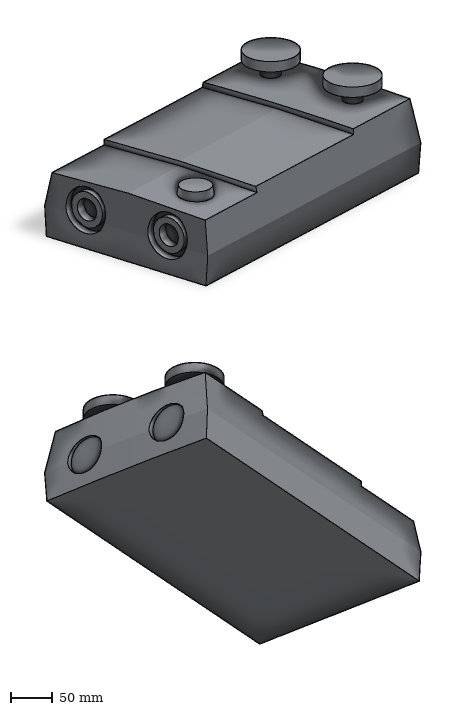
import cadquery as cq
import math

LENGTH = 429.5
WIDTH = 250.0
BOTTOM_WIDTH = 244.8
WAIST_Z = 40.5
SIDE_LEAN = 0.17
FRONT_LEAN = 0.11
BACK_LEAN = 0.15
BACK_UNDERCUT = 1.5
BACK_CROWN = 2.0

BACK_RIDGE_Z = 101.5
BACK_ROOF_DROP = 1.7
MIDDLE_RIDGE_Z = 95.5
MIDDLE_ROOF_DROP = 2.5
FRONT_RIDGE_Z = 88.5
FRONT_ROOF_DROP = 4.0
BACK_STEP_Y = 82.5
FRONT_STEP_Y = -100.0
STEP_LEAN = 0.13

FEATURE_X = 62.5
KNOB_Y = 157.0
KNOB_TOP_Z = 133.5
KNOB_THICKNESS = 13.7
KNOB_DIAMETER = 72.0
STEM_DIAMETER = 25.8
STEM_BASE_Z = 94.5

BUTTON_Y = -157.5
BUTTON_BASE_DIAMETER = 46.0
BUTTON_RIM_DIAMETER = 42.0
BUTTON_BASE_Z = 84.5
BUTTON_RIM_Z = 98.5
BUTTON_APEX_Z = 99.0

SOCKET_Z = 50.2
SOCKET_DIAMETER = 60
SOCKET_DEPTH = 12.0
PLUG_DIAMETER = 47.2
PLUG_SETBACK = 3.5
BORE_DIAMETER = 29.0
BORE_DEPTH = 13.5

REAR_RECESS_Z = 44.2
REAR_RECESS_DIAMETER = 52.5
REAR_RECESS_DEPTH = 8.5

FRONT_Y = -LENGTH / 2
BACK_Y = LENGTH / 2
HALF_WIDTH = WIDTH / 2


def half_width_at(z):
    """Half width of the body at a height above the waist."""
    return HALF_WIDTH - SIDE_LEAN * (z - WAIST_Z)


def step_y(waist_y, z):
    """Position of a step wall at a height, leaning outward from its waist position."""
    return waist_y + math.copysign(STEP_LEAN, waist_y) * (z - WAIST_Z)


def front_y(z):
    """Position of the front face at a height above the waist."""
    return FRONT_Y + FRONT_LEAN * (z - WAIST_Z)


def cross_section(ridge_z, roof_drop, curved):
    """Body profile in XZ, extruded over the whole length."""
    eave_z = ridge_z - roof_drop
    eave_x = half_width_at(eave_z)
    profile = (
        cq.Workplane("XZ", origin=(0, BACK_Y, 0))
        .moveTo(-eave_x, eave_z)
        .lineTo(-HALF_WIDTH, WAIST_Z)
        .lineTo(-BOTTOM_WIDTH / 2, 0)
        .lineTo(BOTTOM_WIDTH / 2, 0)
        .lineTo(HALF_WIDTH, WAIST_Z)
        .lineTo(eave_x, eave_z)
    )
    if curved:
        profile = profile.threePointArc((0, ridge_z), (-eave_x, eave_z))
    else:
        profile = profile.lineTo(0, ridge_z)
    return profile.close().extrude(LENGTH)


def side_slab(points):
    """Slab spanning the full width, outlined by (Y, Z) points."""
    return cq.Workplane("YZ").polyline(points).close().extrude(HALF_WIDTH, both=True)


def back_face_envelope():
    """Double cone about a vertical axis whose rim forms the crowned back face."""
    radius = (HALF_WIDTH ** 2 + BACK_CROWN ** 2) / (2 * BACK_CROWN)
    top_radius = radius - BACK_LEAN * (BACK_RIDGE_Z - WAIST_Z)
    return (
        cq.Workplane("XZ")
        .polyline([
            (0, 0),
            (radius - BACK_UNDERCUT, 0),
            (radius, WAIST_Z),
            (top_radius, BACK_RIDGE_Z),
            (0, BACK_RIDGE_Z),
        ])
        .close()
        .revolve(360, (0, 0), (0, 1))
        .translate((0, BACK_Y - radius, 0))
    )


def make_body():
    """Three roof levels over a common base."""
    back = cross_section(BACK_RIDGE_Z, BACK_ROOF_DROP, True).intersect(side_slab([
        (BACK_STEP_Y, 0),
        (BACK_STEP_Y, WAIST_Z),
        (step_y(BACK_STEP_Y, BACK_RIDGE_Z), BACK_RIDGE_Z),
        (BACK_Y, BACK_RIDGE_Z),
        (BACK_Y, 0),
    ]))
    back = back.intersect(back_face_envelope())
    middle = cross_section(MIDDLE_RIDGE_Z, MIDDLE_ROOF_DROP, False).intersect(side_slab([
        (FRONT_STEP_Y, 0),
        (FRONT_STEP_Y, WAIST_Z),
        (step_y(FRONT_STEP_Y, MIDDLE_RIDGE_Z), MIDDLE_RIDGE_Z),
        (step_y(BACK_STEP_Y, MIDDLE_RIDGE_Z), MIDDLE_RIDGE_Z),
        (BACK_STEP_Y, WAIST_Z),
        (BACK_STEP_Y, 0),
    ]))
    front = cross_section(FRONT_RIDGE_Z, FRONT_ROOF_DROP, False).intersect(side_slab([
        (FRONT_Y, 0),
        (FRONT_Y, WAIST_Z),
        (front_y(FRONT_RIDGE_Z), FRONT_RIDGE_Z),
        (step_y(FRONT_STEP_Y, FRONT_RIDGE_Z), FRONT_RIDGE_Z),
        (FRONT_STEP_Y, WAIST_Z),
        (FRONT_STEP_Y, 0),
    ]))
    return back.union(middle).union(front)


def cylinder_along_y(x, y, z, diameter, depth, direction):
    """Cylinder along Y from (x, y, z); direction is +1 toward +Y and -1 toward -Y."""
    return cq.Workplane(cq.Solid.makeCylinder(
        diameter / 2, depth, cq.Vector(x, y, z), cq.Vector(0, direction, 0)
    ))


def make_knob(x):
    """Flat round knob on a stem rooted in the back roof."""
    underside_z = KNOB_TOP_Z - KNOB_THICKNESS
    stem = (
        cq.Workplane("XY", origin=(x, KNOB_Y, STEM_BASE_Z))
        .circle(STEM_DIAMETER / 2)
        .extrude(underside_z - STEM_BASE_Z)
    )
    head = (
        cq.Workplane("XY", origin=(x, KNOB_Y, underside_z))
        .circle(KNOB_DIAMETER / 2)
        .extrude(KNOB_THICKNESS)
    )
    return stem.union(head)


def make_button():
    """Slightly tapered button with a shallow conical top."""
    return (
        cq.Workplane("XZ")
        .polyline([
            (0, BUTTON_BASE_Z),
            (BUTTON_BASE_DIAMETER / 2, BUTTON_BASE_Z),
            (BUTTON_RIM_DIAMETER / 2, BUTTON_RIM_Z),
            (0, BUTTON_APEX_Z),
        ])
        .close()
        .revolve(360, (0, 0), (0, 1))
        .translate((FEATURE_X, BUTTON_Y, 0))
    )


def add_front_socket(body, x):
    """Round socket with a central plug, leaving a ring groove, and a bore in the plug."""
    plug_y = FRONT_Y + PLUG_SETBACK
    socket = cylinder_along_y(x, FRONT_Y, SOCKET_Z, SOCKET_DIAMETER, SOCKET_DEPTH, 1)
    plug = cylinder_along_y(x, plug_y, SOCKET_Z, PLUG_DIAMETER, SOCKET_DEPTH - PLUG_SETBACK, 1)
    bore = cylinder_along_y(x, plug_y, SOCKET_Z, BORE_DIAMETER, BORE_DEPTH, 1)
    return body.cut(socket).union(plug).cut(bore)


def cut_rear_recess(body, x):
    """Blind round recess in the back face."""
    return body.cut(cylinder_along_y(
        x, BACK_Y, REAR_RECESS_Z, REAR_RECESS_DIAMETER, REAR_RECESS_DEPTH, -1
    ))


result = make_body()
for feature_x in (-FEATURE_X, FEATURE_X):
    result = add_front_socket(result, feature_x)
    result = cut_rear_recess(result, feature_x)
    result = result.union(make_knob(feature_x))
result = result.union(make_button())